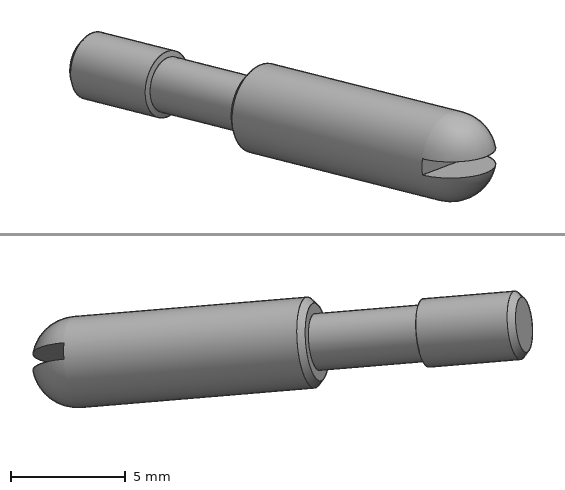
import cadquery as cq
import math

body_diameter = 4.0
head_diameter = 3.0
neck_diameter = 2.5
edge_chamfer = 0.3
head_length = 4.5
shoulder_length = 0.07
body_start = 9.5
overall_length = 22.45
slot_width = 0.75

body_radius = body_diameter / 2
head_radius = head_diameter / 2
neck_radius = neck_diameter / 2

dome_reach = math.sqrt(body_radius**2 - (slot_width / 2) ** 2)
dome_start = overall_length - dome_reach


def make_pin():
    """Turned pin: chamfered head, thin neck, chamfered body and hemispherical end."""
    arc_angle = math.radians(45)
    dome_middle = (
        dome_start + body_radius * math.cos(arc_angle),
        body_radius * math.sin(arc_angle),
    )
    profile = (
        cq.Workplane("XY")
        .moveTo(0, 0)
        .lineTo(0, head_radius - edge_chamfer)
        .lineTo(edge_chamfer, head_radius)
        .lineTo(head_length, head_radius)
        .lineTo(head_length + shoulder_length, neck_radius)
        .lineTo(body_start, neck_radius)
        .lineTo(body_start, body_radius - edge_chamfer)
        .lineTo(body_start + edge_chamfer, body_radius)
        .lineTo(dome_start, body_radius)
        .threePointArc(dome_middle, (dome_start + body_radius, 0))
        .close()
    )
    return profile.revolve(360, (0, 0, 0), (1, 0, 0))


def make_slot():
    """Screwdriver slot across the dome along Y, as deep as the dome."""
    return (
        cq.Workplane("XY")
        .box(body_radius, body_diameter, slot_width, centered=(False, True, True))
        .translate((dome_start, 0, 0))
    )


result = make_pin().cut(make_slot())